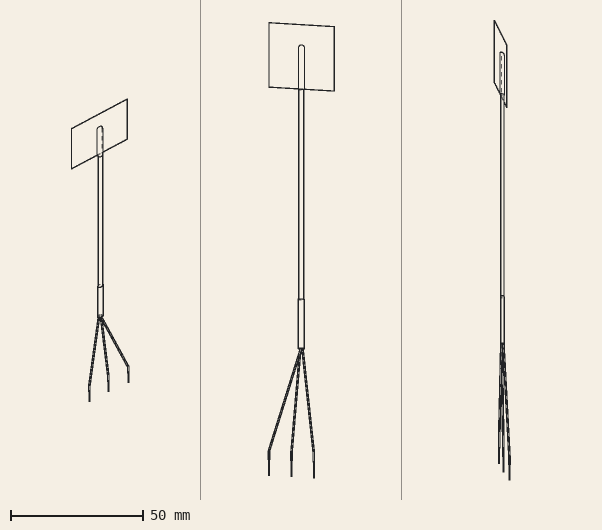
import cadquery as cq

pad_side = 25.4
pad_thickness = 0.1

overall_length = 177.8
overall_depth = 1.46
pad_bottom = overall_length - pad_side

relief_depth = overall_depth - pad_thickness
cable_axis_x = pad_thickness + relief_depth / 2

relief_half_width = 1.2
relief_length = 17.4
relief_straight_length = relief_length - relief_half_width

sleeve_half_width = 1.2
sleeve_half_depth = relief_depth / 2
sleeve_wall = 0.04
sleeve_length = 19.3
sleeve_bottom = 50.6

cable_half_width = 1.0
cable_half_depth = sleeve_half_depth - sleeve_wall

lead_radius = 0.32
bare_radius = 0.19
bare_length = 6.35
bend_height = 9.7
lead_reach = 12.73
lead_spacing = 8.61
lead_start_offset = 0.4
lead_overrun = 1.0
near_x = pad_thickness + lead_radius
far_x = overall_depth - lead_radius
first_end_y = lead_reach - lead_radius
leads = [
    (far_x, 0, first_end_y),
    (near_x, lead_start_offset, first_end_y - lead_spacing),
    (near_x, -lead_start_offset, first_end_y - 2 * lead_spacing),
]


def oval_bar(half_depth, half_width, bottom, length):
    """Bar along Z with an elliptical section."""
    return (
        cq.Workplane("XY")
        .workplane(offset=bottom)
        .center(cable_axis_x, 0)
        .ellipse(half_depth, half_width)
        .extrude(length)
    )


def make_strain_relief():
    """Half-oval bar that ends at the top in a quarter of an ellipsoid."""
    bar = (
        cq.Workplane("XY", origin=(pad_thickness, 0, pad_bottom))
        .ellipseArc(relief_depth, relief_half_width, -90, 90, startAtCurrent=False)
        .close()
        .extrude(relief_straight_length)
    )
    dome = (
        cq.Workplane("XY", origin=(pad_thickness, 0, pad_bottom + relief_straight_length))
        .ellipseArc(relief_depth, relief_half_width, 0, 90, startAtCurrent=False)
        .lineTo(0, 0)
        .close()
        .revolve(180, (0, 0), (1, 0))
    )
    return bar.union(dome)


def make_pad():
    """Sheet with its strain relief."""
    sheet = (
        cq.Workplane("XY")
        .box(pad_thickness, pad_side, pad_side, centered=(False, True, False))
        .translate((0, 0, pad_bottom))
    )
    return sheet.union(make_strain_relief())


def make_lead(x, cable_y, tip_y):
    """Insulated lead that slants outward from the cable end, turns straight down and ends in a bare tip."""
    start_y = cable_y - (tip_y - cable_y) * lead_overrun / (sleeve_bottom - bend_height)
    path = (
        cq.Workplane("YZ", origin=(x, 0, 0))
        .moveTo(tip_y, bare_length)
        .lineTo(tip_y, bend_height)
        .lineTo(start_y, sleeve_bottom + lead_overrun)
    )
    overlong = (
        cq.Workplane("XY", origin=(x, tip_y, bare_length))
        .circle(lead_radius)
        .sweep(path, transition="right")
    )
    below_sleeve = cq.Workplane("XY").circle(2 * lead_reach).extrude(sleeve_bottom)
    insulation = overlong.intersect(below_sleeve)
    tip = cq.Workplane("XY", origin=(x, tip_y, 0)).circle(bare_radius).extrude(bare_length)
    return insulation.union(tip)


def make_cable():
    """Oval cable with its three leads."""
    cable = oval_bar(cable_half_depth, cable_half_width, sleeve_bottom, pad_bottom - sleeve_bottom)
    for x, cable_y, tip_y in leads:
        cable = cable.union(make_lead(x, cable_y, tip_y))
    return cable


def make_sleeve():
    """Oval tube that fits closely around the cable."""
    outside = oval_bar(sleeve_half_depth, sleeve_half_width, sleeve_bottom, sleeve_length)
    bore = oval_bar(cable_half_depth, cable_half_width, sleeve_bottom, sleeve_length)
    return outside.cut(bore)


pad = make_pad()
cable = make_cable()
sleeve = make_sleeve()

result = cq.Compound.makeCompound([pad.val(), cable.val(), sleeve.val()])